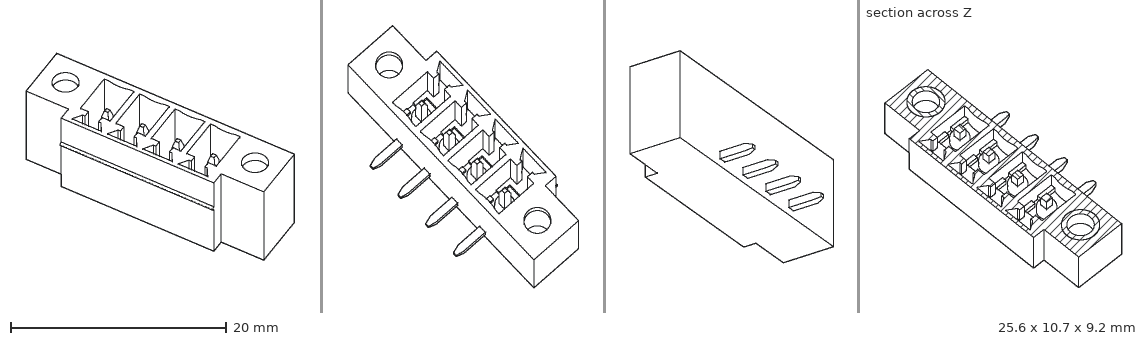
import cadquery as cq

length = 25.63
height = 9.2
tower_length = 16.45
back_y = 2.82
flange_front_y = -back_y
tower_front_y = -4.18

ridge_radius = 0.2
ridge_z = 5.8

contact_count = 4
pitch = 3.82
contact_xs = [(i - (contact_count - 1) / 2) * pitch for i in range(contact_count)]

pocket_width = 3.2
pocket_back_y = 2.2
pocket_front_y = -2.18
pocket_floor_z = 3.08
neck_width = 1.45
shoulder_y = -2.82
shoulder_width = 1.97
slot_front_y = -3.75

recess_depth = 0.5
trough_width = 2.25
trough_front_y = -1.67
cross_groove_width = 0.77
recess_floor_z = pocket_floor_z - recess_depth

bulge_height = 0.15

collar_diameter = 1.9
collar_round = 0.23
collar_height = 1.0

wire = 0.8
tip_width = 0.38
tip_length = 0.77
contact_top_z = 7.8
tail_z = 1.18
tail_end_y = back_y + 3.49

hole_spacing = 20.43
hole_diameter = 2.5
hole_depth = 6.0
insert_diameter = 3.5
insert_depth = 1.0
insert_length = hole_depth - insert_depth
hole_points = [(-hole_spacing / 2, 0), (hole_spacing / 2, 0)]


def box(width, y_front, y_back, z_bottom, z_top, x=0.0):
    """Block centred on x, given by its Y and Z limits."""
    return (
        cq.Workplane("XY", origin=(x, (y_front + y_back) / 2, z_bottom))
        .rect(width, y_back - y_front)
        .extrude(z_top - z_bottom)
    )


def make_pocket(x):
    """Cavity for one contact, with its key slot, bulged back wall and recessed floor."""
    neck_x = neck_width / 2
    shoulder_x = shoulder_width / 2
    side_x = pocket_width / 2
    bulge_x = trough_width / 2
    upper = (
        cq.Workplane("XY", origin=(x, 0, pocket_floor_z))
        .moveTo(-side_x, pocket_back_y)
        .lineTo(-side_x, pocket_front_y)
        .lineTo(-neck_x, pocket_front_y)
        .lineTo(-neck_x, shoulder_y)
        .lineTo(-shoulder_x, shoulder_y)
        .lineTo(-side_x, slot_front_y)
        .lineTo(side_x, slot_front_y)
        .lineTo(shoulder_x, shoulder_y)
        .lineTo(neck_x, shoulder_y)
        .lineTo(neck_x, pocket_front_y)
        .lineTo(side_x, pocket_front_y)
        .lineTo(side_x, pocket_back_y)
        .lineTo(bulge_x, pocket_back_y)
        .threePointArc((0, pocket_back_y - bulge_height), (-bulge_x, pocket_back_y))
        .close()
        .extrude(height - pocket_floor_z)
    )
    trough = (
        cq.Workplane("XY", origin=(x, 0, recess_floor_z))
        .moveTo(-bulge_x, pocket_back_y)
        .lineTo(-bulge_x, trough_front_y)
        .lineTo(bulge_x, trough_front_y)
        .lineTo(bulge_x, pocket_back_y)
        .threePointArc((0, pocket_back_y - bulge_height), (-bulge_x, pocket_back_y))
        .close()
        .extrude(recess_depth)
    )
    groove_y = cross_groove_width / 2
    groove = box(pocket_width, -groove_y, groove_y, recess_floor_z, pocket_floor_z, x)
    return upper.union(trough).union(groove)


def make_collar(x):
    """Round boss with a rounded top edge, standing on the recess floor."""
    return (
        cq.Workplane("XY", origin=(x, 0, recess_floor_z))
        .circle(collar_diameter / 2)
        .extrude(collar_height)
        .faces(">Z")
        .edges()
        .fillet(collar_round)
    )


def make_tip(plane):
    """Square taper at the end of a contact, along the normal of the plane."""
    return (
        cq.Workplane(plane)
        .rect(wire, wire)
        .workplane(offset=tip_length)
        .rect(tip_width, tip_width)
        .loft(ruled=True)
    )


def make_contact(x):
    """L-shaped square contact, tapered at both ends."""
    upright_top_z = contact_top_z - tip_length
    tail_taper_y = tail_end_y - tip_length
    tail_bottom_z = tail_z - wire / 2
    upright = box(wire, -wire / 2, wire / 2, tail_bottom_z, upright_top_z, x)
    tail = box(wire, -wire / 2, tail_taper_y, tail_bottom_z, tail_bottom_z + wire, x)
    top_tip = make_tip(cq.Plane((x, 0, upright_top_z), (1, 0, 0), (0, 0, 1)))
    tail_tip = make_tip(cq.Plane((x, tail_taper_y, tail_z), (1, 0, 0), (0, 1, 0)))
    return upright.union(tail).union(top_tip).union(tail_tip)


def make_inserts():
    """Two sleeves whose bores continue the mounting holes."""
    return (
        cq.Workplane("XY", origin=(0, 0, height - hole_depth))
        .pushPoints(hole_points)
        .circle(insert_diameter / 2)
        .circle(hole_diameter / 2)
        .extrude(insert_length)
    )


def make_housing(contacts, inserts):
    """Moulded body with pockets, collars and mounting holes, fitted around the metal parts."""
    flanges = box(length, flange_front_y, back_y, 0, height)
    tower = box(tower_length, tower_front_y, back_y, 0, height)
    ridge = (
        cq.Workplane("YZ", origin=(-tower_length / 2, tower_front_y, ridge_z))
        .circle(ridge_radius)
        .extrude(tower_length)
    )
    body = flanges.union(tower).union(ridge)
    for x in contact_xs:
        body = body.cut(make_pocket(x)).union(make_collar(x))
    holes = (
        cq.Workplane("XY", origin=(0, 0, height))
        .pushPoints(hole_points)
        .circle(hole_diameter / 2)
        .extrude(-hole_depth)
    )
    body = body.cut(holes).cut(inserts)
    for contact in contacts:
        body = body.cut(contact)
    return body


contacts = [make_contact(x) for x in contact_xs]
inserts = make_inserts()
housing = make_housing(contacts, inserts)

result = cq.Compound.makeCompound(
    [housing.val(), *[contact.val() for contact in contacts], *inserts.vals()]
)